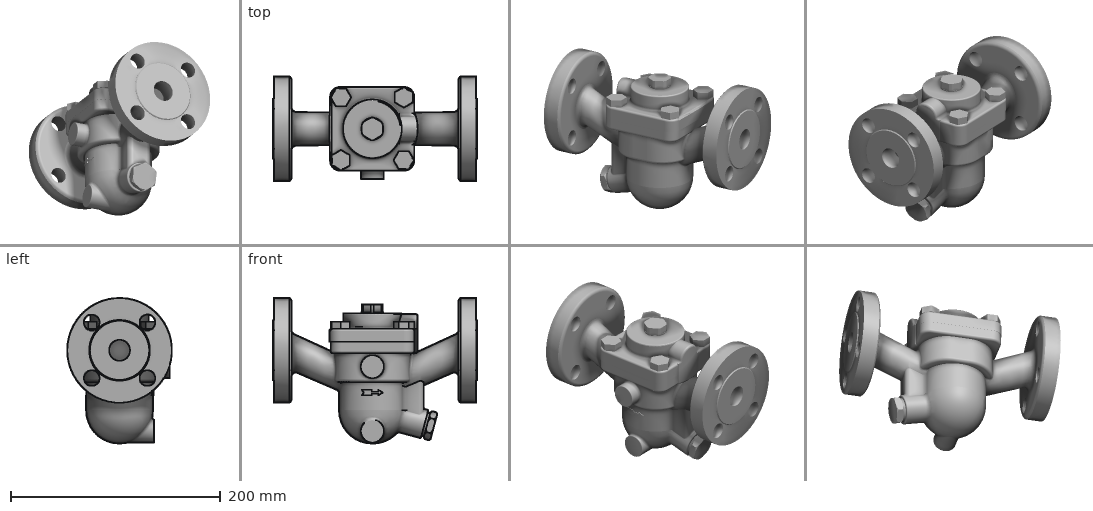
import cadquery as cq
import math


face_to_face = 195.0
flange_diameter = 100.0
flange_thickness = 17.0
flange_chamfer = 2.0
raised_face_diameter = 58.0
raised_face_height = 1.0
raised_face_chamfer = 0.8
bolt_hole_diameter = 15.0
bolt_circle_diameter = 75.0
bore_diameter = 20.0
bore_depth = 20.0
pipe_angle = 24.0
pipe_radius_at_flange = 16.4
pipe_radius_at_body = 15.5
pipe_length = 75.0
pipe_drop_at_flange = 1.4
pipe_root_fillet = 4.0
pipe_joint_fillet = 2.0
flange_back_x = face_to_face / 2 - raised_face_height - flange_thickness

body_x = -2.5
body_radius = 32.0
dome_center_z = -57.0
neck_width = 73.0
neck_corner_radius = 28.5
neck_bottom_z = -30.3
neck_fillet = 3.0

cover_width = 80.0
cover_corner_radius = 10.0
cover_side_bulge = 1.0
body_flange_step = 0.1
body_flange_bottom_z = -3.0
cover_joint_z = 8.0
cover_top_z = 20.4
body_flange_fillet = 2.5
cover_fillet = 2.0
cover_boss_radius = 28.0
cover_boss_top_z = 35.5
cover_boss_top_fillet = 1.3
cover_boss_root_fillet = 2.0

screw_spacing = 60.0
screw_head_across_flats = 17.0
screw_head_height = 7.0
plug_collar_diameter = 21.0
plug_collar_height = 1.0
plug_head_across_flats = 20.0
plug_corner_diameter = 21.6
plug_top_z = 43.8

passage_outer_radius = 43.2
passage_width = 30.0
passage_dome_radius = 12.0
passage_top_z = 34.6
passage_root_fillet = passage_width / 2 - passage_dome_radius
passage_end_fillet = 2.0

front_boss_diameter = 22.0
front_boss_edge_fillet = 0.75
upper_boss_z = -15.6
upper_boss_face_y = -48.0
lower_boss_z = -77.0
lower_boss_face_y = -33.0
upper_boss_root_fillet = 1.25
lower_boss_root_fillet = 2.5

strainer_angle = 15.0
strainer_diameter = 28.0
strainer_length = 51.5
strainer_edge_fillet = 1.0
strainer_root_fillet = 4.0
strainer_collar_diameter = 23.0
strainer_head_start = 54.0
strainer_head_end = 60.8
strainer_head_across_flats = 24.0
strainer_head_chamfer = 1.5
pad_start_x = 15.0
pad_end_x = 46.6
pad_half_width = 12.0
pad_fillet = 5.0
pad_root_fillet = 1.5
pad_top_z = -22.0
pad_bottom_z = -67.0

arrow_z = -40.3
arrow_length = 20.0
arrow_relief = 0.6
arrow_notch = 2.0
arrow_tail_length = 9.5
arrow_tail_width = 5.2
arrow_head_length = 4.5
arrow_shaft_width = 2.0


def cylinder_z(radius, bottom_z, top_z):
    """Upright cylinder about the body axis."""
    return cq.Workplane("XY", origin=(body_x, 0, bottom_z)).circle(radius).extrude(top_z - bottom_z)


def hexagon_size(across_flats):
    """Diameter across the corners of a hexagon."""
    return across_flats / math.cos(math.pi / 6)


def box_edges(shape, low, high):
    """Edges of a shape whose centres lie in the box between two corners."""
    return shape.edges(cq.selectors.BoxSelector(low, high))


def make_flange():
    """Right-hand end flange with raised face."""
    disc = cq.Workplane("YZ", origin=(flange_back_x, 0, 0)).circle(flange_diameter / 2).extrude(flange_thickness)
    disc = disc.faces("<X").edges().chamfer(flange_chamfer)
    raised = disc.faces(">X").workplane().circle(raised_face_diameter / 2).extrude(raised_face_height)
    return raised.faces(">X").edges().chamfer(raised_face_chamfer)


def make_pipe():
    """Right-hand tapered pipe sloping down from inside the flange into the body."""
    angle = math.radians(pipe_angle)
    inward = cq.Vector(-math.cos(angle), 0, -math.sin(angle))
    overlap = flange_thickness / 2
    start = cq.Vector(flange_back_x, 0, -pipe_drop_at_flange) - inward * overlap
    pipe = cq.Solid.makeCone(
        pipe_radius_at_flange, pipe_radius_at_body, pipe_length + overlap, start, inward
    )
    return cq.Workplane(pipe)


def make_end_holes():
    """Bore and bolt holes of the right-hand flange."""
    outer = cq.Workplane("YZ", origin=(face_to_face / 2, 0, 0))
    bore = outer.circle(bore_diameter / 2).extrude(-bore_depth)
    holes = outer.polarArray(bolt_circle_diameter / 2, 45, 360, 4).circle(bolt_hole_diameter / 2)
    return bore.union(holes.extrude(-flange_thickness - raised_face_height))


def make_barrel():
    """Straight round part of the body."""
    return cylinder_z(body_radius, dome_center_z, cover_joint_z)


def strainer_workplane(distance):
    """Workplane across the strainer axis at a distance from the dome centre."""
    angle = math.radians(strainer_angle)
    axis = (math.cos(angle), 0, -math.sin(angle))
    plane = cq.Plane(origin=(body_x, 0, dome_center_z), xDir=(0, 1, 0), normal=axis)
    return cq.Workplane(plane).workplane(offset=distance)


def make_strainer_boss():
    """Tilted round boss with a rounded rim."""
    boss = strainer_workplane(0).circle(strainer_diameter / 2).extrude(strainer_length)
    return boss.faces(">X").edges().fillet(strainer_edge_fillet)


def make_strainer_plug():
    """Collar and chamfered hexagon head closing the strainer boss."""
    collar = strainer_workplane(0).circle(strainer_collar_diameter / 2).extrude(strainer_head_start)
    corner_diameter = hexagon_size(strainer_head_across_flats)
    head_length = strainer_head_end - strainer_head_start
    head_plane = strainer_workplane(strainer_head_start)
    head = head_plane.transformed(rotate=(0, 0, 30)).polygon(6, corner_diameter).extrude(head_length)
    limit = head_plane.circle(corner_diameter / 2).extrude(head_length).edges().chamfer(strainer_head_chamfer)
    return collar.union(head.intersect(limit))


def make_pad(bottom_z):
    """Flat-sided pad on the +X side of the body, with rounded outer edges."""
    length = pad_end_x - pad_start_x
    pad = cq.Workplane("XY", origin=(pad_start_x + length / 2, 0, bottom_z)).rect(length, 2 * pad_half_width)
    return pad.extrude(pad_top_z - bottom_z).edges(">X and |Z").fillet(pad_fillet)


def make_front_boss(center_z, face_y):
    """Round boss pointing to -Y with a rounded rim."""
    boss = cq.Workplane("XZ", origin=(body_x, 0, center_z)).circle(front_boss_diameter / 2).extrude(-face_y)
    return boss.faces("<Y").edges().fillet(front_boss_edge_fillet)


def make_dome_body():
    """Plain round body with its dome, strainer boss and lower front boss."""
    body = make_barrel().union(cq.Workplane("XY", origin=(body_x, 0, dome_center_z)).sphere(body_radius))
    root_x = body_x + body_radius * math.cos(math.radians(45))
    strainer_low = (root_x, -strainer_diameter / 2, dome_center_z - body_radius)
    strainer_high = (body_x + body_radius, strainer_diameter / 2, dome_center_z + strainer_diameter / 2)
    body = body.union(make_strainer_boss())
    body = box_edges(body, strainer_low, strainer_high).fillet(strainer_root_fillet)

    boss_reach = front_boss_diameter / 2
    boss_low = (body_x - boss_reach, -body_radius + 1, lower_boss_z - boss_reach)
    boss_high = (body_x + boss_reach, -1, lower_boss_z + boss_reach)
    body = body.union(make_front_boss(lower_boss_z, lower_boss_face_y))
    return box_edges(body, boss_low, boss_high).fillet(lower_boss_root_fillet)


def make_pad_barrel():
    """Barrel with the pad blended into it by upright fillets."""
    barrel = make_barrel().union(make_pad(dome_center_z))
    meeting_x = body_x + math.sqrt(body_radius**2 - pad_half_width**2)
    low = (meeting_x - 1, -pad_half_width - 1, dome_center_z)
    high = (meeting_x + 1, pad_half_width + 1, pad_top_z)
    return box_edges(barrel, low, high).fillet(pad_fillet)


def make_pad_joint():
    """Pad blended into the strainer boss below it."""
    joint = make_pad(pad_bottom_z).union(make_strainer_boss())
    low = (pad_start_x + 1, -pad_half_width - 0.5, dome_center_z - strainer_diameter / 4)
    high = (pad_end_x + 0.1, pad_half_width + 0.5, dome_center_z + strainer_diameter / 4)
    return box_edges(joint, low, high).edges("not |Z").fillet(pad_root_fillet)


def make_neck():
    """Rounded square neck under the body flange, with the upper front boss."""
    neck = cq.Workplane("XY", origin=(body_x, 0, neck_bottom_z)).rect(neck_width, neck_width)
    neck = neck.extrude(cover_joint_z - neck_bottom_z).edges("|Z").fillet(neck_corner_radius)
    neck = neck.faces("<Z").edges().fillet(neck_fillet)
    neck = neck.union(make_front_boss(upper_boss_z, upper_boss_face_y))
    reach = front_boss_diameter / 2 + 1
    face_y = -neck_width / 2
    root_low = (body_x - reach, face_y - 1, upper_boss_z - reach)
    root_high = (body_x + reach, face_y + 1, upper_boss_z + reach)
    return box_edges(neck, root_low, root_high).fillet(upper_boss_root_fillet)


def add_pipes(body):
    """Join both pipes to the body and neck, with fillets around each joint."""
    right_pipe = make_pipe()
    body = body.union(right_pipe).union(right_pipe.mirror("YZ"))
    for side in (-1, 1):
        near_x = body_x + side * (body_radius - 8)
        far_x = body_x + side * (neck_width / 2 + 1)
        low = (min(near_x, far_x), -pipe_radius_at_flange, dome_center_z + body_radius / 3)
        high = (max(near_x, far_x), pipe_radius_at_flange, body_flange_bottom_z + 2)
        body = box_edges(body, low, high).fillet(pipe_joint_fillet)
    return body


def add_flanges(body):
    """Join both end flanges to the pipes, with root fillets, bores and bolt holes."""
    flange = make_flange()
    holes = make_end_holes()
    body = body.union(flange).union(flange.mirror("YZ"))
    reach = flange_diameter / 4
    for side in (-1, 1):
        root_x = side * flange_back_x
        body = box_edges(body, (root_x - 1, -reach, -reach), (root_x + 1, reach, reach)).fillet(pipe_root_fillet)
    return body.cut(holes).cut(holes.mirror("YZ"))


def cover_outline():
    """Square cover outline with a slightly bulging -X side."""
    half = cover_width / 2
    plane = cq.Workplane("XY", origin=(body_x, 0, cover_joint_z))
    return (
        plane.moveTo(-half, -half)
        .lineTo(half, -half)
        .lineTo(half, half)
        .lineTo(-half, half)
        .threePointArc((-half - cover_side_bulge, 0), (-half, -half))
        .close()
    )


def passage_bulge(bottom_z, top_z):
    """Part of a large cylinder about the body axis that carries the outlet passage."""
    strip = cq.Workplane("XY", origin=(body_x + passage_outer_radius / 2, 0, bottom_z))
    strip = strip.rect(passage_outer_radius, passage_width).extrude(top_z - bottom_z)
    return strip.intersect(cylinder_z(passage_outer_radius, bottom_z, top_z))


def make_passage():
    """Arched top of the outlet passage, with flared feet on the cover."""
    foot_z = cover_top_z
    outer = passage_width / 2
    flare_radius = passage_root_fillet
    profile = (
        cq.Workplane("YZ", origin=(body_x, 0, 0))
        .moveTo(-outer, foot_z - cover_fillet)
        .lineTo(-outer, foot_z)
        .radiusArc((-passage_dome_radius, foot_z + flare_radius), -flare_radius)
        .threePointArc((0, passage_top_z), (passage_dome_radius, foot_z + flare_radius))
        .radiusArc((outer, foot_z), -flare_radius)
        .lineTo(outer, foot_z - cover_fillet)
        .close()
    )
    arch = profile.extrude(passage_outer_radius)
    arch = arch.intersect(cylinder_z(passage_outer_radius, cover_joint_z, passage_top_z))
    end_low = (body_x + cover_boss_radius, -outer, foot_z + 0.1)
    end_high = (body_x + passage_outer_radius, outer, passage_top_z)
    return box_edges(arch, end_low, end_high).fillet(passage_end_fillet)


def make_cover():
    """Body flange, cover, cover boss and outlet passage."""
    flange_width = cover_width - 2 * body_flange_step
    flange = cq.Workplane("XY", origin=(body_x, 0, body_flange_bottom_z)).rect(flange_width, flange_width)
    flange = flange.extrude(cover_joint_z - body_flange_bottom_z)
    flange = flange.edges("|Z").fillet(cover_corner_radius)
    flange = flange.union(passage_bulge(body_flange_bottom_z, cover_joint_z))
    flange = flange.faces("<Z").edges().fillet(body_flange_fillet)

    cover = cover_outline().extrude(cover_top_z - cover_joint_z)
    cover = cover.edges("|Z").fillet(cover_corner_radius).faces(">Z").edges().fillet(cover_fillet)
    boss = cylinder_z(cover_boss_radius, cover_joint_z, cover_boss_top_z)
    boss = boss.faces(">Z").edges().fillet(cover_boss_top_fillet)
    cover = cover.union(boss)
    root_low = (body_x - 1, -1, cover_top_z - 1)
    root_high = (body_x + 1, 1, cover_top_z + 1)
    cover = box_edges(cover, root_low, root_high).fillet(cover_boss_root_fillet)
    cover = cover.union(passage_bulge(cover_joint_z, cover_top_z)).union(make_passage())
    return flange.union(cover)


def make_screw(x, y, turn):
    """Hexagon screw head standing on the cover."""
    head = cq.Workplane("XY", origin=(x, y, cover_top_z)).transformed(rotate=(0, 0, turn))
    return head.polygon(6, hexagon_size(screw_head_across_flats)).extrude(screw_head_height)


def make_top_plug():
    """Hexagon plug with rounded corners on a round collar."""
    collar = cylinder_z(plug_collar_diameter / 2, cover_boss_top_z, cover_boss_top_z + plug_collar_height)
    height = plug_top_z - cover_boss_top_z
    head = cq.Workplane("XY", origin=(body_x, 0, cover_boss_top_z)).transformed(rotate=(0, 0, 30))
    head = head.polygon(6, hexagon_size(plug_head_across_flats)).extrude(height)
    limit = cylinder_z(plug_corner_diameter / 2, cover_boss_top_z, plug_top_z)
    return collar.union(head.intersect(limit))


def make_arrow():
    """Raised flow arrow with a notched tail, pointing to +X."""
    tail_x = body_x - 0.5 * arrow_length
    notch_x = tail_x + arrow_notch
    head_x = tail_x + arrow_length - arrow_head_length
    tip_x = tail_x + arrow_length
    body_end_x = tail_x + arrow_tail_length
    half_tail = arrow_tail_width / 2
    half_shaft = arrow_shaft_width / 2
    points = [
        (tail_x, half_tail),
        (body_end_x, half_tail),
        (body_end_x, half_shaft),
        (head_x, half_shaft),
        (head_x, half_tail),
        (tip_x, 0),
        (head_x, -half_tail),
        (head_x, -half_shaft),
        (body_end_x, -half_shaft),
        (body_end_x, -half_tail),
        (tail_x, -half_tail),
        (notch_x, 0),
    ]
    outline = cq.Workplane("XZ", origin=(0, 0, arrow_z)).polyline(points).close()
    shell_radius = body_radius + arrow_relief
    band = cylinder_z(shell_radius, arrow_z - arrow_tail_width, arrow_z + arrow_tail_width)
    return outline.extrude(shell_radius).intersect(band)


result = add_pipes(make_dome_body().union(make_neck()))
result = add_flanges(result)
result = result.union(make_pad_barrel()).union(make_pad_joint()).union(make_strainer_plug())
result = result.union(make_cover())
for side_x in (-1, 1):
    for side_y in (-1, 1):
        turn = 15 + 15 * side_x * side_y
        result = result.union(make_screw(body_x + side_x * screw_spacing / 2, side_y * screw_spacing / 2, turn))
result = result.union(make_top_plug()).union(make_arrow())